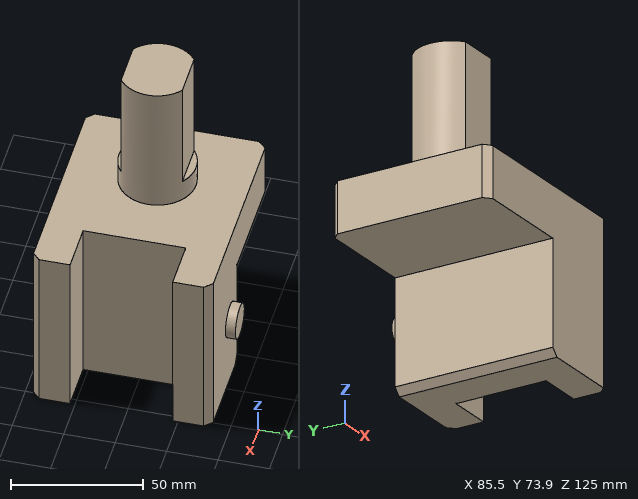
import cadquery as cq

block_length = 85.5
block_width = 70.0
block_height = 70.0
plate_thickness = 22.0
leg_length = 39.5
chamfer = 3.0

slot_width = 39.9
slot_depth = 20.0

shank_diameter = 30.0
shank_height = 55.0
shank_x = 30.0
flat_height = 46.0
across_flats = 23.9

pin_diameter = 14.0
pin_length = 3.9
pin_x = 57.0
pin_z = 30.0


def make_block():
    """L-shaped block with chamfered corners and an open slot, centred on Y = 0."""
    leg_start = block_length - leg_length
    plate_bottom = block_height - plate_thickness
    block = (
        cq.Workplane("XZ")
        .moveTo(0, plate_bottom)
        .lineTo(leg_start, plate_bottom)
        .lineTo(leg_start, chamfer)
        .lineTo(leg_start + chamfer, 0)
        .lineTo(block_length, 0)
        .lineTo(block_length, block_height)
        .lineTo(0, block_height)
        .close()
        .extrude(block_width / 2, both=True)
    )
    block = block.edges("|Z and (<X or >X)").chamfer(chamfer)
    slot = (
        cq.Workplane("XY")
        .center(block_length - slot_depth / 2, 0)
        .rect(slot_depth, slot_width)
        .extrude(block_height)
    )
    return block.cut(slot)


def make_shank():
    """Round shank whose upper part is narrowed in Y by two flats."""
    shank = (
        cq.Workplane("XY", origin=(shank_x, 0, block_height))
        .circle(shank_diameter / 2)
        .extrude(shank_height)
    )
    flat_depth = (shank_diameter - across_flats) / 2
    flat_start = block_height + shank_height - flat_height
    for side in (-1, 1):
        flat_y = side * (across_flats + flat_depth) / 2
        flat_cut = (
            cq.Workplane("XY", origin=(shank_x, 0, flat_start))
            .center(0, flat_y)
            .rect(shank_diameter, flat_depth)
            .extrude(flat_height)
        )
        shank = shank.cut(flat_cut)
    return shank


def make_holder():
    """Block and shank as one solid."""
    return make_block().union(make_shank())


def make_pin():
    """Round pin seated on the +Y side of the block."""
    return (
        cq.Workplane("XZ", origin=(pin_x, block_width / 2, pin_z))
        .circle(pin_diameter / 2)
        .extrude(-pin_length)
    )


holder = make_holder()
pin = make_pin()

result = cq.Compound.makeCompound([holder.solids().val(), pin.val()])